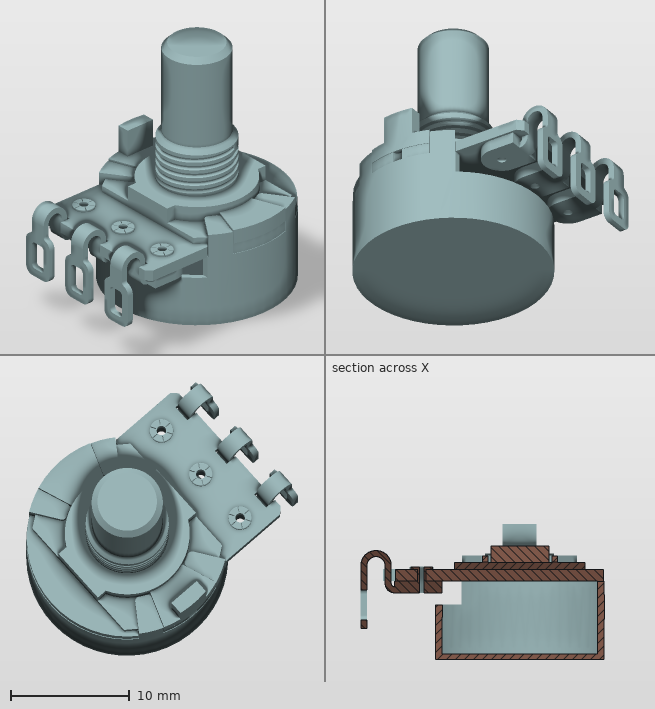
import cadquery as cq
import math


body_radius = 8.5
wall = 0.5
floor = 0.5
cup_height = 6.6
window_sill = 4.6

wafer_radius = 8.45
wafer_thickness = 1.0
wafer_end_y = -11.5
wafer_chamfer = 0.5
notch_radius = 0.45
strip_slot_depth = 1.0

plate_thickness = 0.6
plate_half_depth = 5.5
plate_corner_x = 5.83
plate_chamfer_angle = 54.0
ear_thickness = 1.3
ear_half_angle = 20.0
tab_width = 2.84
tab_depth = 1.28
tab_rise = 2.5

pocket_start, pocket_end = ear_half_angle, 35.0
clip_gap = 0.3
clip_thickness = 0.53
clip_inner_radius = 5.35
clip_fillet = 0.4

flange_radius = 5.25
flange_thickness = 1.4
flange_neck_width = 5.0
thread_radius = 3.5
thread_length = 4.5
thread_pitch = 0.75
groove_depth = 0.25
groove_mouth = 0.42
groove_root = 0.15
groove_run_in = 0.9
groove_height = 4.55

shaft_radius = 3.0
shaft_top = 22.6
shaft_chamfer = 0.5

terminal_pitch = 5.0
rivet_y = -8.25
lug_width = 3.5
lug_thickness = 1.0
lug_end_y = -10.55
strip_width = 1.5
strip_thickness = 0.55
strip_end_y = -13.4
hook_radius = 1.3
hook_base_rise = 0.3
paddle_width = 3.0
paddle_bottom = 2.6
paddle_shoulder = 5.85
paddle_corner = 0.75
neck_fillet = 0.3
eye_height = 2.5
eye_fillet = 0.35

rivet_head_radius = 1.0
rivet_head_height = 0.22
rivet_barrel_radius = 0.5
rivet_bore_radius = 0.4
rivet_hole_radius = 0.51
rivet_edge_fillet = 0.07
petal_count = 6
petal_slot = 0.08

inner_radius = body_radius - wall
wafer_top = cup_height + wafer_thickness
plate_top = wafer_top + plate_thickness
ear_top = wafer_top + ear_thickness
flange_top = plate_top + flange_thickness
bushing_top = flange_top + thread_length
clip_top = plate_top + clip_thickness
tail_half_width = body_radius * math.cos(math.radians(pocket_end))
tail_start_y = -body_radius * math.sin(math.radians(pocket_end))
clip_angle = (pocket_start + pocket_end) / 2
clip_angles = (clip_angle, 180 - clip_angle, 180 + clip_angle, 360 - clip_angle)
terminal_xs = [-terminal_pitch, 0.0, terminal_pitch]

hook_y = strip_end_y + hook_radius
hook_z = wafer_top + hook_base_rise
leg_inner_y = hook_y + hook_radius
leg_outer_y = leg_inner_y - strip_thickness


def polar(radius, angle):
    a = math.radians(angle)
    return (radius * math.cos(a), radius * math.sin(a))


def cylinder(radius, bottom, top):
    return cq.Workplane("XY").workplane(offset=bottom).circle(radius).extrude(top - bottom)


def block(x0, x1, y0, y1, z0, z1):
    return cq.Workplane("XY").box(x1 - x0, y1 - y0, z1 - z0, centered=False).translate((x0, y0, z0))


def ring_sector(r0, r1, start, end, bottom, top):
    """Part of a ring between two radii and two angles."""
    middle = (start + end) / 2
    return (
        cq.Workplane("XY").workplane(offset=bottom)
        .moveTo(*polar(r0, start))
        .lineTo(*polar(r1, start))
        .threePointArc(polar(r1, middle), polar(r1, end))
        .lineTo(*polar(r0, end))
        .threePointArc(polar(r0, middle), polar(r0, start))
        .close()
        .extrude(top - bottom)
    )


def clip_pockets():
    half = (pocket_end - pocket_start) / 2
    pocket = ring_sector(inner_radius, body_radius + wall, -half, half, cup_height, ear_top)
    return at_clip_angles(pocket)


def at_clip_angles(shape):
    """Copies of a shape centred on the X axis, turned to each clip position."""
    return [shape.rotate((0, 0, 0), (0, 0, 1), angle) for angle in clip_angles]


def make_clip_finger():
    """Part of a clip that lies on the plate; it ends inside the cup wall."""
    half = (pocket_end - pocket_start) / 2 - clip_gap
    finger = ring_sector(clip_inner_radius, inner_radius + wall / 2, -half, half, plate_top, clip_top)
    for side in (-half, half):
        corner = (*polar(clip_inner_radius, side), plate_top)
        finger = finger.edges("|Z").edges(cq.NearestToPointSelector(corner)).fillet(clip_fillet)
    return finger


def make_cup():
    cup = cylinder(body_radius, 0, clip_top).cut(cylinder(inner_radius, floor, clip_top))
    clip_half = (pocket_end - pocket_start) / 2 - clip_gap
    for i, angle in enumerate(clip_angles):
        gap_start = angle + clip_half
        gap_end = clip_angles[(i + 1) % len(clip_angles)] - clip_half
        if gap_end < gap_start:
            gap_end += 360
        cup = cup.cut(ring_sector(
            inner_radius - wall, body_radius + wall, gap_start, gap_end, cup_height, clip_top + wall
        ))
    terminal_window = block(
        -tail_half_width, tail_half_width, -body_radius - wall, tail_start_y, window_sill, cup_height
    )
    cup = cup.cut(terminal_window)
    for finger in at_clip_angles(make_clip_finger()):
        cup = cup.union(finger)
    return cup


def make_wafer():
    tail = block(
        -tail_half_width, tail_half_width, wafer_end_y, tail_start_y, cup_height, wafer_top
    ).edges("|Z and <Y").chamfer(wafer_chamfer)
    wafer = cylinder(wafer_radius, cup_height, wafer_top)
    for pocket in clip_pockets():
        wafer = wafer.cut(pocket)
    wafer = wafer.union(tail)
    notch = cylinder(notch_radius, cup_height, wafer_top)
    wafer = wafer.cut(notch.translate((-wafer_radius, 0, 0)))
    for x in terminal_xs:
        rivet_hole = cylinder(rivet_hole_radius, cup_height, wafer_top).translate((x, rivet_y, 0))
        strip_slot = block(
            x - strip_width / 2, x + strip_width / 2,
            wafer_end_y, wafer_end_y + strip_slot_depth,
            cup_height, wafer_top,
        )
        wafer = wafer.cut(rivet_hole).cut(strip_slot)
    return wafer


def make_plate():
    ear_y = body_radius * math.sin(math.radians(ear_half_angle))
    slope = math.tan(math.radians(plate_chamfer_angle))
    side_x = plate_corner_x + (plate_half_depth - ear_y) / slope
    right_side = [
        (plate_corner_x, -plate_half_depth),
        (side_x, -ear_y),
        (side_x, ear_y),
        (plate_corner_x, plate_half_depth),
    ]
    left_side = [(-x, -y) for x, y in right_side]
    plate = (
        cq.Workplane("XY").workplane(offset=wafer_top)
        .polyline(right_side + left_side).close().extrude(plate_thickness)
    )
    for pocket in clip_pockets():
        plate = plate.cut(pocket)
    for facing in (0, 180):
        plate = plate.union(ring_sector(
            flange_radius, body_radius, facing - ear_half_angle, facing + ear_half_angle, wafer_top, ear_top
        ))
    tab = block(
        -body_radius, tab_depth - body_radius, -tab_width / 2, tab_width / 2, wafer_top, ear_top + tab_rise
    ).intersect(cylinder(body_radius, wafer_top, ear_top + tab_rise))
    return plate.union(tab).cut(cylinder(shaft_radius, wafer_top, plate_top))


def make_thread_groove():
    start_z = flange_top - groove_run_in
    helix = cq.Wire.makeHelix(thread_pitch, groove_height, thread_radius, center=cq.Vector(0, 0, start_z))
    lip = 0.05
    lip_growth = lip * (groove_mouth - groove_root) / (2 * groove_depth)
    outer_half = groove_mouth / 2 + lip_growth
    profile = cq.Workplane("XZ").polyline([
        (thread_radius + lip, start_z - outer_half),
        (thread_radius + lip, start_z + outer_half),
        (thread_radius - groove_depth, start_z + groove_root / 2),
        (thread_radius - groove_depth, start_z - groove_root / 2),
    ]).close()
    return profile.sweep(cq.Workplane(helix), isFrenet=True)


def make_bushing():
    top_chamfer = thread_radius - shaft_radius
    barrel = (
        cq.Workplane("XZ")
        .moveTo(0, flange_top)
        .lineTo(thread_radius, flange_top)
        .lineTo(thread_radius, bushing_top - top_chamfer)
        .lineTo(shaft_radius, bushing_top)
        .lineTo(0, bushing_top)
        .close()
        .revolve(360, (0, 0, 0), (0, 1, 0))
        .cut(make_thread_groove())
    )
    neck_half = flange_neck_width / 2
    flange = cylinder(flange_radius, plate_top, flange_top).union(
        block(-neck_half, neck_half, -plate_half_depth, plate_half_depth, plate_top, flange_top)
    )
    return flange.union(barrel).cut(cylinder(shaft_radius, plate_top, bushing_top))


def make_shaft():
    return cylinder(shaft_radius, wafer_top, shaft_top).faces(">Z").chamfer(shaft_chamfer)


def make_lug():
    half = lug_width / 2
    bottom = cup_height - lug_thickness
    return cylinder(half, bottom, cup_height).translate((0, rivet_y, 0)).union(
        block(-half, half, lug_end_y, rivet_y, bottom, cup_height)
    )


def make_strip():
    """Strip that bends up out of the lug, passes the wafer and hooks over its edge."""
    bend_outer = lug_end_y - leg_outer_y
    bend_inner = bend_outer - strip_thickness
    bottom = cup_height - lug_thickness
    bend_z = bottom + bend_outer
    hook_inner = hook_radius - strip_thickness
    outer_sag = bend_outer * math.sqrt(0.5)
    inner_sag = bend_inner * math.sqrt(0.5)
    return (
        cq.Workplane("YZ").workplane(offset=-strip_width / 2)
        .moveTo(lug_end_y, bottom)
        .threePointArc((lug_end_y - outer_sag, bend_z - outer_sag), (leg_outer_y, bend_z))
        .lineTo(leg_outer_y, hook_z)
        .threePointArc((hook_y, hook_z + hook_inner), (hook_y - hook_inner, hook_z))
        .lineTo(hook_y - hook_inner, paddle_shoulder)
        .lineTo(strip_end_y, paddle_shoulder)
        .lineTo(strip_end_y, hook_z)
        .threePointArc((hook_y, hook_z + hook_radius), (leg_inner_y, hook_z))
        .lineTo(leg_inner_y, bend_z)
        .threePointArc((lug_end_y - inner_sag, bend_z - inner_sag), (lug_end_y, bend_z - bend_inner))
        .close()
        .extrude(strip_width)
    )


def make_paddle():
    half = paddle_width / 2
    neck = strip_width / 2
    core = half - paddle_corner
    diagonal = paddle_corner * math.sqrt(0.5)
    low_z = paddle_bottom + paddle_corner
    fillet_x = neck + neck_fillet
    rise = math.sqrt((paddle_corner + neck_fillet) ** 2 - (fillet_x - core) ** 2)
    fillet_z = paddle_shoulder + rise
    share = paddle_corner / (paddle_corner + neck_fillet)
    touch = (core + share * (fillet_x - core), paddle_shoulder + share * rise)
    touch_angle = math.degrees(math.atan2(rise, fillet_x - core))
    corner_dx, corner_dz = polar(paddle_corner, touch_angle / 2)
    fillet_dx, fillet_dz = polar(neck_fillet, (180 + 180 + touch_angle) / 2)
    half_paddle = (
        cq.Workplane("XZ").workplane(offset=-strip_end_y)
        .moveTo(0, paddle_bottom)
        .lineTo(core, paddle_bottom)
        .threePointArc((core + diagonal, low_z - diagonal), (half, low_z))
        .lineTo(half, paddle_shoulder)
        .threePointArc((core + corner_dx, paddle_shoulder + corner_dz), touch)
        .threePointArc((fillet_x + fillet_dx, fillet_z + fillet_dz), (neck, fillet_z))
        .lineTo(0, fillet_z)
        .close()
        .extrude(-strip_thickness)
    )
    eye = block(
        -neck, neck, strip_end_y, strip_end_y + strip_thickness, paddle_shoulder - eye_height, paddle_shoulder
    ).edges("|Y").fillet(eye_fillet)
    return half_paddle.union(half_paddle.mirror("YZ")).cut(eye)


def make_rivet():
    head_top = wafer_top + rivet_head_height
    head = cylinder(rivet_head_radius, wafer_top, head_top).faces(">Z").edges().fillet(rivet_edge_fillet)
    slot = block(
        rivet_barrel_radius, rivet_head_radius + petal_slot,
        -petal_slot / 2, petal_slot / 2,
        wafer_top, head_top,
    )
    for i in range(petal_count):
        slot_angle = 90 + i * 360 / petal_count
        head = head.cut(slot.rotate((0, 0, 0), (0, 0, 1), slot_angle))
    return head.union(cylinder(rivet_barrel_radius, cup_height, wafer_top))


def make_terminal(x):
    bore = cylinder(rivet_bore_radius, 0, bushing_top).translate((0, rivet_y, 0))
    terminal = make_lug().union(make_rivet().translate((0, rivet_y, 0))).cut(bore)
    return terminal.union(make_strip()).union(make_paddle()).translate((x, 0, 0))


cup = make_cup()
wafer = make_wafer()
plate = make_plate()
bushing = make_bushing()
shaft = make_shaft()
terminals = [make_terminal(x) for x in terminal_xs]

result = cq.Compound.makeCompound([
    cup.solids().val(),
    wafer.solids().val(),
    plate.solids().val(),
    bushing.solids().val(),
    shaft.solids().val(),
    *[terminal.solids().val() for terminal in terminals],
])